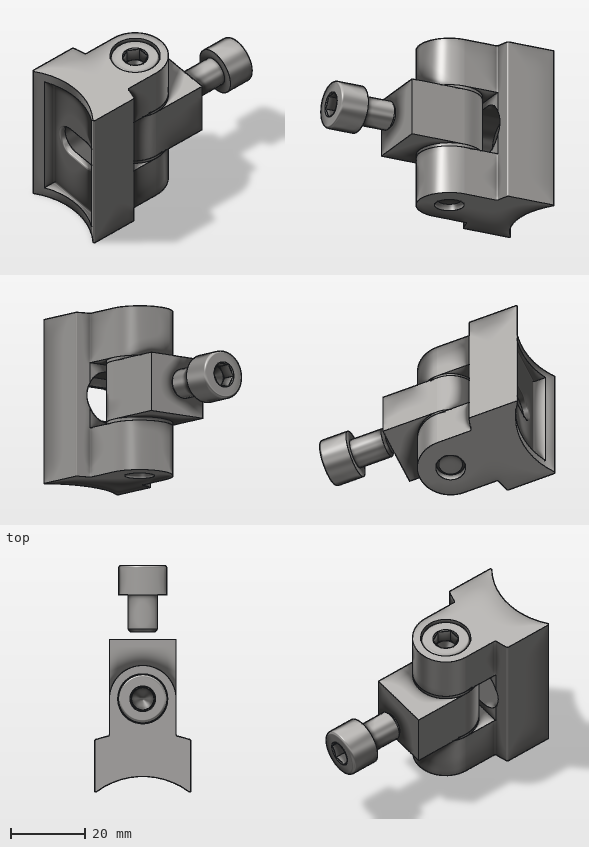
import cadquery as cq
import math


bracket_height = 45.0
flange_width = 26.0
ear_radius = 9.0
ear_width = 2 * ear_radius
saddle_apex_y = -21.0
saddle_radius = 20.85
flange_back_apex_y = -ear_radius
flange_back_radius = 42.0
flange_tip_y = -26.0
saddle_corner_radius = 0.35
flange_corner_radius = 0.5
gap_floor_y = -9.95

pocket_width = 20.0
pocket_height = 39.0
pocket_floor_y = -20.0
pocket_fillet = 0.5
slot_height = 9.2
slot_center_distance = 6.0
slot_lip = 1.8
slot_edge_radius = 0.5
selection_margin = 0.05
head_slot_height = 14.0

knuckle_height = 16.0
knuckle_back_y = 16.0
washer_thickness = 0.9
gap_height = knuckle_height + 2 * washer_thickness

shank_diameter = 8.0
tip_chamfer = 0.8
head_diameter = 13.0
head_height = shank_diameter
head_round = 0.75
socket_width = 6.0
socket_depth = 4.0
socket_cone_depth = 1.7
socket_corner_diameter = socket_width / math.cos(math.pi / 6)
socket_countersink_depth = 0.3
clamp_screw_length = 10.0
clamp_screw_tip_y = 18.0
pivot_screw_length = 35.0
counterbore_diameter = 13.5
head_recess = 0.5
pivot_seat_z = bracket_height / 2 - head_recess - head_height


def z_cylinder(radius, height, y=0):
    """Cylinder along Z, centred on Z = 0."""
    return cq.Workplane("XY", origin=(0, y, -height / 2)).circle(radius).extrude(height)


def make_flange():
    """Saddle flange: straight sides, convex back and concave front, with rounded corners."""
    flange_depth = flange_back_apex_y - flange_tip_y
    flange = cq.Workplane("XY").box(flange_width, flange_depth, bracket_height)
    flange = flange.translate((0, flange_tip_y + flange_depth / 2, 0))
    back = z_cylinder(flange_back_radius, bracket_height, flange_back_apex_y - flange_back_radius)
    saddle = z_cylinder(saddle_radius, bracket_height, saddle_apex_y - saddle_radius)
    flange = flange.intersect(back).cut(saddle)
    flange = flange.edges("|Z and <Y").fillet(saddle_corner_radius)
    side_edges = flange.faces("<X or >X").edges("|Z and >Y")
    return side_edges.fillet(flange_corner_radius)


def make_ears():
    """Round-backed slab from which both ears are cut; it ends inside the flange."""
    root_y = (saddle_apex_y + gap_floor_y) / 2
    slab = cq.Workplane("XY").box(ear_width, -root_y, bracket_height).translate((0, root_y / 2, 0))
    return slab.union(z_cylinder(ear_radius, bracket_height))


def slot_cutter(height, front_y, back_y):
    """Slot along X that runs in Y from front_y to back_y."""
    plane = cq.Workplane("XZ", origin=(0, back_y, 0))
    return plane.slot2D(slot_center_distance + height, height).extrude(back_y - front_y)


def cut_pocket_and_slot(bracket):
    """Sink the saddle pocket and the stepped slot behind it."""
    lip_back_y = pocket_floor_y + slot_lip
    pocket_depth = pocket_floor_y - flange_tip_y
    pocket = cq.Workplane("XZ", origin=(0, pocket_floor_y, 0)).rect(pocket_width, pocket_height)
    pocket = pocket.extrude(pocket_depth).faces(">Y").edges().fillet(pocket_fillet)
    bracket = bracket.cut(pocket)
    bracket = bracket.cut(slot_cutter(slot_height, pocket_floor_y, lip_back_y))
    slot_reach = (slot_center_distance + slot_height) / 2
    rim = cq.selectors.BoxSelector(
        (-slot_reach - slot_edge_radius, pocket_floor_y - selection_margin, -slot_height),
        (slot_reach + slot_edge_radius, pocket_floor_y + selection_margin, slot_height),
    )
    bracket = bracket.edges(rim).fillet(slot_edge_radius)
    return bracket.cut(slot_cutter(head_slot_height, lip_back_y, 0))


def make_bracket():
    """Clevis bracket with two ears and a saddle flange."""
    bracket = make_flange().union(make_ears())
    back_center_y = flange_back_apex_y - flange_back_radius
    corner_y = back_center_y + math.sqrt(flange_back_radius**2 - ear_radius**2)
    for corner_x in (-ear_radius, ear_radius):
        corner = cq.selectors.BoxSelector(
            (corner_x - selection_margin, corner_y - selection_margin, -bracket_height),
            (corner_x + selection_margin, corner_y + selection_margin, bracket_height),
        )
        bracket = bracket.edges(corner).edges("|Z").fillet(flange_corner_radius)
    gap_depth = ear_radius - gap_floor_y
    gap = cq.Workplane("XY").box(flange_width, gap_depth, gap_height)
    bracket = bracket.cut(gap.translate((0, gap_floor_y + gap_depth / 2, 0)))
    bracket = cut_pocket_and_slot(bracket)
    bracket = bracket.cut(z_cylinder(shank_diameter / 2, bracket_height))
    counterbore = cq.Workplane("XY", origin=(0, 0, pivot_seat_z)).circle(counterbore_diameter / 2)
    return bracket.cut(counterbore.extrude(head_height + head_recess))


def make_knuckle():
    """Hinge block between the ears: round at the front, square at the back."""
    block = cq.Workplane("XY").box(ear_width, knuckle_back_y, knuckle_height)
    block = block.translate((0, knuckle_back_y / 2, 0)).union(z_cylinder(ear_radius, knuckle_height))
    return block.cut(z_cylinder(shank_diameter / 2, knuckle_height))


def make_washer(center_z):
    """Flat washer on the pivot axis."""
    ring = z_cylinder(ear_radius, washer_thickness).cut(z_cylinder(shank_diameter / 2, washer_thickness))
    return ring.translate((0, 0, center_z))


def make_screw(length):
    """Socket head screw on the Z axis: head seat at Z = 0, shank pointing down."""
    shank = cq.Workplane("XY").circle(shank_diameter / 2).extrude(-length)
    shank = shank.faces("<Z").edges().chamfer(tip_chamfer)
    head = cq.Workplane("XY").circle(head_diameter / 2).extrude(head_height)
    head = head.faces(">Z").edges().fillet(head_round)
    socket_floor_z = head_height - socket_depth
    socket = cq.Workplane("XY", origin=(0, 0, socket_floor_z)).polygon(6, socket_corner_diameter)
    socket = socket.extrude(socket_depth)
    cone = cq.Solid.makeCone(0, socket_width / 2, socket_cone_depth)
    cone = cone.translate(cq.Vector(0, 0, socket_floor_z - socket_cone_depth))
    countersink_radius = socket_corner_diameter / 2
    countersink_floor_z = head_height - socket_countersink_depth
    countersink_floor_radius = countersink_radius - socket_countersink_depth
    countersink = cq.Solid.makeCone(countersink_floor_radius, countersink_radius, socket_countersink_depth)
    countersink = countersink.translate(cq.Vector(0, 0, countersink_floor_z))
    return shank.union(head).cut(socket).cut(cq.Workplane(cone)).cut(cq.Workplane(countersink))


bracket = make_bracket()
knuckle = make_knuckle()
washer_z = (knuckle_height + washer_thickness) / 2
washers = [make_washer(side * washer_z) for side in (-1, 1)]
pivot_screw = make_screw(pivot_screw_length).translate((0, 0, pivot_seat_z))
clamp_screw = make_screw(clamp_screw_length).rotate((0, 0, 0), (1, 0, 0), -90)
clamp_screw = clamp_screw.translate((0, clamp_screw_tip_y + clamp_screw_length, 0))

result = cq.Compound.makeCompound([
    bracket.val(),
    knuckle.val(),
    *[washer.val() for washer in washers],
    pivot_screw.val(),
    clamp_screw.val(),
])